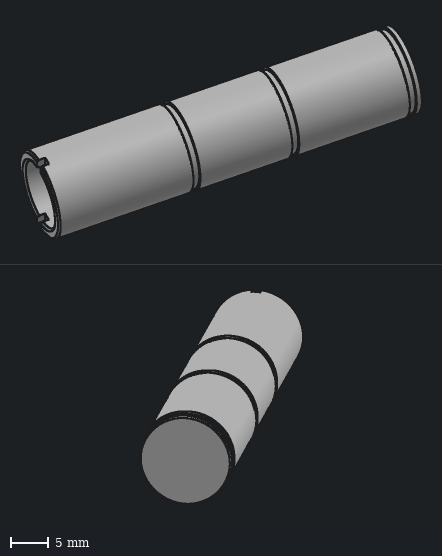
import cadquery as cq

length = 54.0
outer_diameter = 12.7
edge_chamfer = 0.25

bore_diameter = 9.6
bore_chamfer = 0.3
end_wall = 3.0

groove_diameter = 12.0
groove_width = 1.0
groove_offsets = (1.0, 18.4, 33.05)

slot_width = 1.2
slot_depth = 1.2

mouth_y = -length / 2
closed_y = length / 2


def cylinder(diameter, start_y, height):
    """Solid cylinder on the Y axis, running from start_y toward +Y."""
    axis = cq.Vector(0, 1, 0)
    return cq.Workplane(cq.Solid.makeCylinder(diameter / 2, height, cq.Vector(0, start_y, 0), axis))


def make_body():
    body = cylinder(outer_diameter, mouth_y, length)
    return body.faces("<Y or >Y").chamfer(edge_chamfer)


def make_bore():
    """Blind bore with a chamfered rim at the mouth."""
    bore = cylinder(bore_diameter, mouth_y, length - end_wall)
    rim_radius = bore_diameter / 2 + bore_chamfer
    rim = cq.Solid.makeCone(
        rim_radius, bore_diameter / 2, bore_chamfer, cq.Vector(0, mouth_y, 0), cq.Vector(0, 1, 0)
    )
    return bore.union(cq.Workplane(rim))


def make_groove(offset):
    """Ring that cuts one groove around the outside."""
    start_y = closed_y - offset - groove_width
    ring = cylinder(outer_diameter + groove_width, start_y, groove_width)
    return ring.cut(cylinder(groove_diameter, start_y, groove_width))


def make_slot():
    """Bar across the mouth that notches the wall at top and bottom."""
    bar = cq.Workplane("XY").box(slot_width, slot_depth, outer_diameter)
    return bar.translate((0, mouth_y + slot_depth / 2, 0))


result = make_body().cut(make_bore())
for groove_offset in groove_offsets:
    result = result.cut(make_groove(groove_offset))
result = result.cut(make_slot())